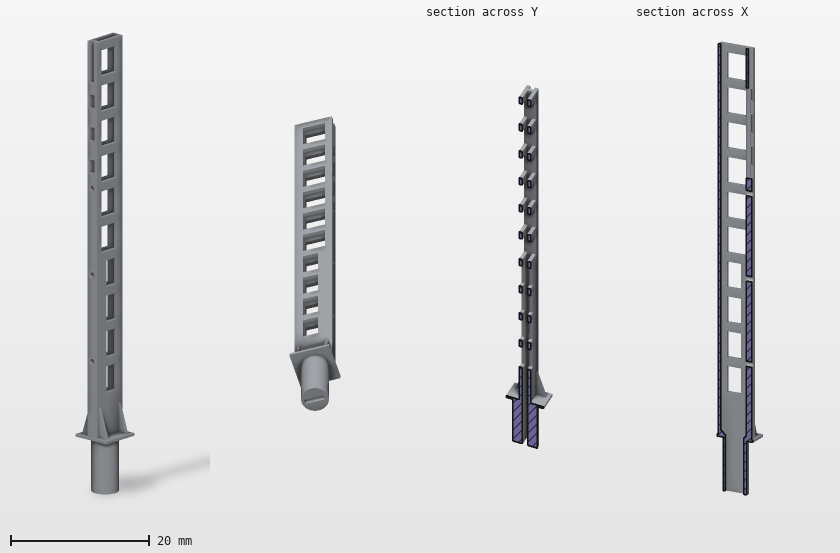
import cadquery as cq

total_height = 68.0
pin_diameter = 4.0
pin_height = 8.15
flange_side = 6.0
flange_thickness = 0.4
post_width = 1.85
post_depth = 5.6
flange_top = pin_height + flange_thickness
post_front = -post_depth / 2

gusset_thickness = 0.4
gusset_height = 4.5
gusset_foot = 2.4
gusset_offset = 2.1

window_height = 3.95
window_pitch = 5.3
window_top_margin = 1.3
wide_window_count = 6
narrow_window_count = 4
window_back = 1.55
wide_window_front = -1.8
narrow_window_front = -0.75

channel_width = 0.75
channel_back = 2.3
channel_front = wide_window_front
throat_back = window_back
throat_front = -1.35
front_ramp_top = flange_top + (throat_front - channel_front)
back_ramp_top = flange_top + (channel_back - throat_back)

wire_diameter = 0.75
bore_center_y = -2.25
groove_length = 6.05
groove_bottom = total_height - groove_length
groove_back = bore_center_y
pocket_width = 1.0
pocket_height = 2.0
pocket_pitch = 4.9
pocket_count = 3
first_pocket_top = 60.05
wire_hole_top = 46.0
wire_hole_pitch = 13.0
wire_hole_count = 3


def block(x_size, y_min, y_max, z_min, z_max):
    """Box centred on X, spanning the given Y and Z ranges."""
    return (
        cq.Workplane("XY")
        .box(x_size, y_max - y_min, z_max - z_min, centered=(True, False, False))
        .translate((0, y_min, z_min))
    )


def make_body():
    """Round pin, square flange and rectangular post."""
    pin = cq.Workplane("XY").circle(pin_diameter / 2).extrude(pin_height)
    flange = block(flange_side, -flange_side / 2, flange_side / 2, pin_height, flange_top)
    post = block(post_width, post_front, -post_front, flange_top, total_height)
    return pin.union(flange).union(post)


def make_gusset_pair(y_center):
    """Triangular ribs on both sides of the post, joined through it."""
    half_width = post_width / 2
    return (
        cq.Workplane("XZ", origin=(0, y_center, 0))
        .moveTo(-gusset_foot, flange_top)
        .lineTo(gusset_foot, flange_top)
        .lineTo(half_width, flange_top + gusset_height)
        .lineTo(-half_width, flange_top + gusset_height)
        .close()
        .extrude(gusset_thickness / 2, both=True)
    )


def make_channel():
    """Through channel; 45 degree ramps at the post foot lead into the narrower throat through the pin."""
    outline = [
        (channel_front, total_height),
        (channel_front, front_ramp_top),
        (throat_front, flange_top),
        (throat_front, 0),
        (throat_back, 0),
        (throat_back, flange_top),
        (channel_back, back_ramp_top),
        (channel_back, total_height),
    ]
    return cq.Workplane("YZ").polyline(outline).close().extrude(channel_width / 2, both=True)


def make_window(index):
    """Window cutter; index 0 is the topmost."""
    top = total_height - window_top_margin - index * window_pitch
    front = wide_window_front if index < wide_window_count else narrow_window_front
    return block(post_width, front, window_back, top - window_height, top)


def make_pocket(index):
    """Shallow pocket in the front face, reaching the axis of the wire bore."""
    top = first_pocket_top - index * pocket_pitch
    return block(pocket_width, post_front, bore_center_y, top - pocket_height, top)


def make_wire_hole(index):
    """Round hole from the front face into the channel."""
    z = wire_hole_top - index * wire_hole_pitch
    return (
        cq.Workplane("XZ", origin=(0, post_front, z))
        .circle(wire_diameter / 2)
        .extrude(post_front)
    )


def make_wire_bore():
    """Vertical bore from the groove floor down to the lowest pocket's floor."""
    bore_bottom = first_pocket_top - (pocket_count - 1) * pocket_pitch - pocket_height
    return (
        cq.Workplane("XY", origin=(0, bore_center_y, bore_bottom))
        .circle(wire_diameter / 2)
        .extrude(groove_bottom - bore_bottom)
    )


def make_groove():
    """Open groove running down the front face from the top of the post."""
    return block(wire_diameter, post_front, groove_back, groove_bottom, total_height)


result = make_body()
for side in (-1, 1):
    result = result.union(make_gusset_pair(side * gusset_offset))

result = result.cut(make_channel())
for index in range(wide_window_count + narrow_window_count):
    result = result.cut(make_window(index))

result = result.cut(make_groove())
result = result.cut(make_wire_bore())
for index in range(pocket_count):
    result = result.cut(make_pocket(index))
for index in range(wire_hole_count):
    result = result.cut(make_wire_hole(index))